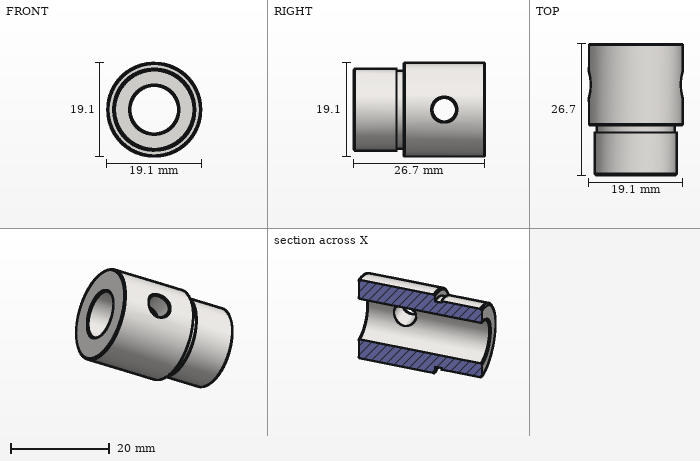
import cadquery as cq

length = 26.67
body_diameter = 19.05
spigot_diameter = 16.65
groove_diameter = 15.87
bore_diameter = 9.65
cross_hole_diameter = 4.77

spigot_length = 8.75
shoulder_position = 10.15
cross_hole_position = 18.4

body_chamfer = 0.27
spigot_chamfer = 0.37
bore_chamfer = 0.27
cross_hole_chamfer = 0.27


def cylinder(diameter, start, end):
    """Solid cylinder on the Y axis between two axial positions."""
    return cq.Workplane("XZ", origin=(0, start, 0)).circle(diameter / 2).extrude(start - end)


def make_outside():
    """Body and spigot separated by a relief groove."""
    body = cylinder(body_diameter, shoulder_position, length).edges().chamfer(body_chamfer)
    groove = cylinder(groove_diameter, spigot_length, shoulder_position)
    spigot = cylinder(spigot_diameter, 0, spigot_length).faces("<Y").edges().chamfer(spigot_chamfer)
    return body.union(groove).union(spigot)


def cut_bore(part):
    """Through bore with both mouths chamfered."""
    bored = part.cut(cylinder(bore_diameter, 0, length))
    bore_mouths = bored.faces("<Y or >Y").edges(cq.selectors.RadiusNthSelector(0))
    return bored.newObject(bore_mouths.vals()).chamfer(bore_chamfer)


def cut_cross_hole(part):
    """Hole through both walls along X, chamfered where it meets the outside."""
    drill = (
        cq.Workplane("YZ", origin=(0, cross_hole_position, 0))
        .circle(cross_hole_diameter / 2)
        .extrude(body_diameter / 2, both=True)
    )
    drilled = part.cut(drill)
    hole_radius = cross_hole_diameter / 2
    mouth_inner_limit = 0.9 * body_diameter / 2
    for side in (-1, 1):
        mouth_region = cq.selectors.BoxSelector(
            (side * mouth_inner_limit, cross_hole_position - hole_radius, -hole_radius),
            (side * body_diameter / 2, cross_hole_position + hole_radius, hole_radius),
        )
        drilled = drilled.edges(mouth_region).chamfer(cross_hole_chamfer)
    return drilled


result = cut_cross_hole(cut_bore(make_outside()))